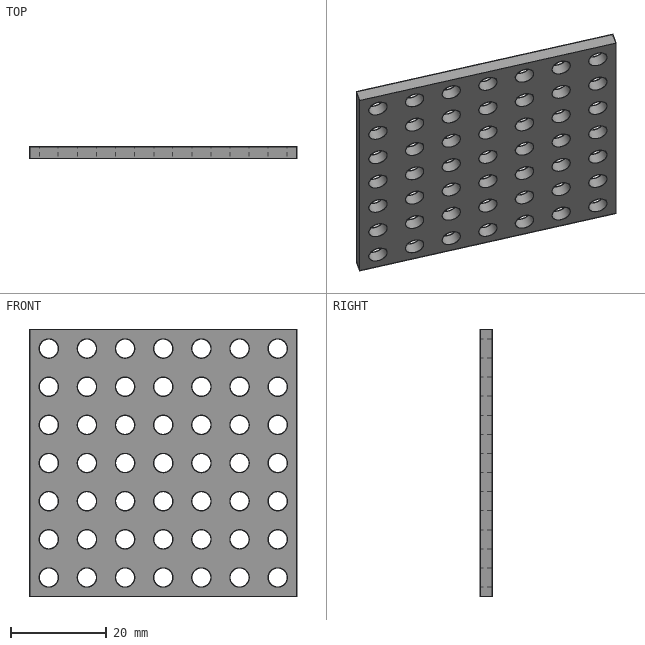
import cadquery as cq

side = 56.0
thickness = 2.5
holes_per_side = 7
hole_diameter = 4.0

pitch = side / holes_per_side

plate = cq.Workplane("XY").box(side, thickness, side)

result = (
    plate.faces("<Y")
    .workplane(centerOption="CenterOfBoundBox")
    .rarray(pitch, pitch, holes_per_side, holes_per_side)
    .hole(hole_diameter)
)